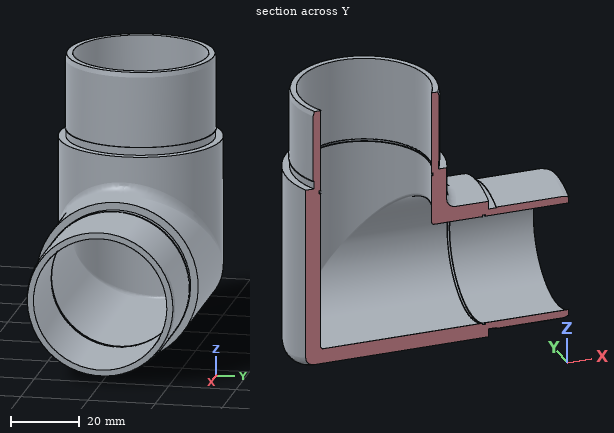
import cadquery as cq

overall = 84.15
body_diameter = 48.3
spigot_diameter = 44.2
neck_diameter = 43.8
bore_diameter = 39.7
body_length = 59.15
neck_length = 2.35
tip_length = 1.5
tip_inset = 0.4
body_corner_radius = 3.0
bore_corner_radius = 1.0
groove_width = 0.75
groove_depth = 0.4
groove_setback = 1.1

body_radius = body_diameter / 2
leg_reach = overall - body_radius
shoulder = body_length - body_radius

low_left = (-overall, -overall)
low_right = (overall, -overall)
high_right = (overall, overall)
high_left = (-overall, overall)


def prism(outline, both_sides=True):
    """Large prism over an XZ outline, on both sides of Y = 0 or on +Y only."""
    profile = cq.Workplane("XZ").polyline(outline).close()
    if both_sides:
        return profile.extrude(overall, both=True)
    return profile.extrude(-overall)


def turn_to_horizontal(leg):
    """Mirror the vertical leg in the miter plane by swapping X and Z."""
    return leg.rotate((0, 0, 0), (1, 0, 1), 180)


def mitered_pair(diameter, length):
    """Two equal sharp-cornered round bars meeting in a 45 degree miter."""
    bar_bottom = cq.Workplane("XY").workplane(offset=-overall)
    bar = bar_bottom.circle(diameter / 2).extrude(overall + length)
    half = bar.intersect(prism([low_left, high_right, high_left]))
    return half.union(turn_to_horizontal(half))


def rounded_elbow(diameter, length, corner_radius):
    """Mitered pair with its miter edge rounded.

    The edge is re-entrant inside the bend and sharp outside it, and fades out
    where the two meet, so each quarter is rounded alone and then joined.
    """
    bars = mitered_pair(diameter, length)
    y_half = prism([low_left, low_right, high_right, high_left], both_sides=False)
    inner_side = bars.intersect(prism([high_left, low_right, high_right])).intersect(y_half)
    outer_side = bars.intersect(prism([high_left, low_right, low_left])).intersect(y_half)
    inner_side = inner_side.edges("%ELLIPSE").edges(">(1, 0, 1)").fillet(corner_radius)
    outer_side = outer_side.edges("%ELLIPSE").edges("<(1, 0, 1)").fillet(corner_radius)
    half = inner_side.union(outer_side)
    return half.union(half.mirror("XZ")).clean()


def spigot():
    """Undercut neck, plug and tapered tip, revolved about the vertical axis."""
    neck_radius = neck_diameter / 2
    plug_radius = spigot_diameter / 2
    neck_end = shoulder + neck_length
    return (
        cq.Workplane("XZ")
        .moveTo(0, shoulder)
        .lineTo(neck_radius, shoulder)
        .lineTo(neck_radius, neck_end)
        .lineTo(plug_radius, neck_end)
        .lineTo(plug_radius, leg_reach - tip_length)
        .lineTo(plug_radius - tip_inset, leg_reach)
        .lineTo(0, leg_reach)
        .close()
        .revolve(360, (0, 0, 0), (0, 1, 0))
    )


def bore_groove():
    """Disc that cuts a shallow ring groove in the bore just below the shoulder."""
    groove_bottom = shoulder - groove_setback - groove_width
    disc_base = cq.Workplane("XY").workplane(offset=groove_bottom)
    return disc_base.circle(bore_diameter / 2 + groove_depth).extrude(groove_width)


elbow = rounded_elbow(body_diameter, shoulder, body_corner_radius)
for add_on in (spigot(), turn_to_horizontal(spigot())):
    elbow = elbow.union(add_on)

bore = rounded_elbow(bore_diameter, leg_reach, bore_corner_radius)
for cutter in (bore, bore_groove(), turn_to_horizontal(bore_groove())):
    elbow = elbow.cut(cutter)

centre_shift = body_radius - overall / 2
result = elbow.translate((centre_shift, 0, centre_shift))